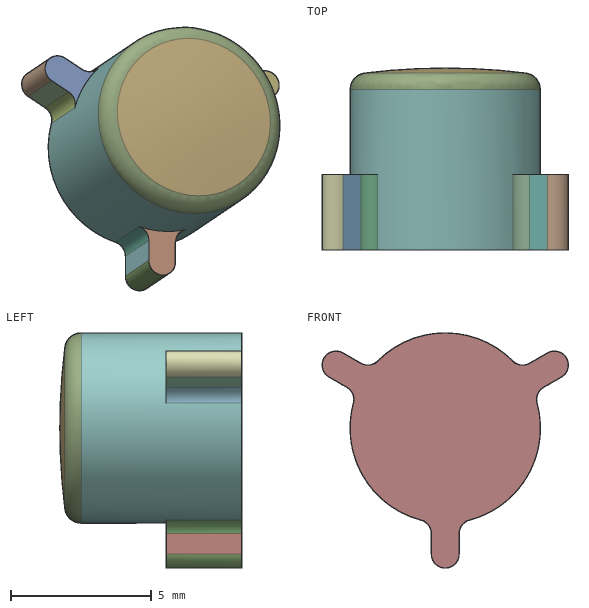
import cadquery as cq
import math

body_radius = 3.4
total_length = 6.5
crown_height = 0.25
edge_radius = 0.6

lug_count = 3
lug_length = 2.7
lug_width = 1.0
lug_reach = 5.0
root_radius = 0.5


def make_body():
    """Revolve the half profile about the Y axis, seam along +Z, and round the dome's rim."""
    rim_y = total_length - crown_height
    dome_radius = (body_radius**2 + crown_height**2) / (2 * crown_height)
    mid_z = body_radius / 2
    mid_y = total_length - dome_radius + math.sqrt(dome_radius**2 - mid_z**2)
    profile = (
        cq.Workplane("ZY")
        .lineTo(body_radius, 0)
        .lineTo(body_radius, rim_y)
        .threePointArc((mid_z, mid_y), (0, total_length))
        .close()
    )
    body = profile.revolve(360, (0, 0, 0), (0, 1, 0))
    rim = cq.selectors.BoxSelector(
        (-2 * body_radius, rim_y - crown_height / 2, -2 * body_radius),
        (2 * body_radius, rim_y + crown_height / 2, 2 * body_radius),
    )
    return body.edges(rim).fillet(edge_radius)


def make_lug():
    """Lug pointing to -Z, with concave root fillets tangent to the body."""
    half_width = lug_width / 2
    tip_center_z = half_width - lug_reach

    fillet_x = half_width + root_radius
    center_distance = body_radius + root_radius
    fillet_z = -math.sqrt(center_distance**2 - fillet_x**2)
    body_share = body_radius / center_distance
    root_x = fillet_x * body_share
    root_z = fillet_z * body_share

    toward_body = math.atan2(-fillet_z, -fillet_x)
    mid_angle = (toward_body + math.pi) / 2
    mid_x = fillet_x + root_radius * math.cos(mid_angle)
    mid_z = fillet_z + root_radius * math.sin(mid_angle)

    outline = (
        cq.Workplane("XZ")
        .moveTo(0, 0)
        .lineTo(root_x, root_z)
        .threePointArc((mid_x, mid_z), (half_width, fillet_z))
        .lineTo(half_width, tip_center_z)
        .threePointArc((0, -lug_reach), (-half_width, tip_center_z))
        .lineTo(-half_width, fillet_z)
        .threePointArc((-mid_x, mid_z), (-root_x, root_z))
        .close()
    )
    return outline.extrude(-lug_length)


result = make_body()
lug = make_lug()
for index in range(lug_count):
    angle = index * 360 / lug_count
    result = result.union(lug.rotate((0, 0, 0), (0, 1, 0), angle))